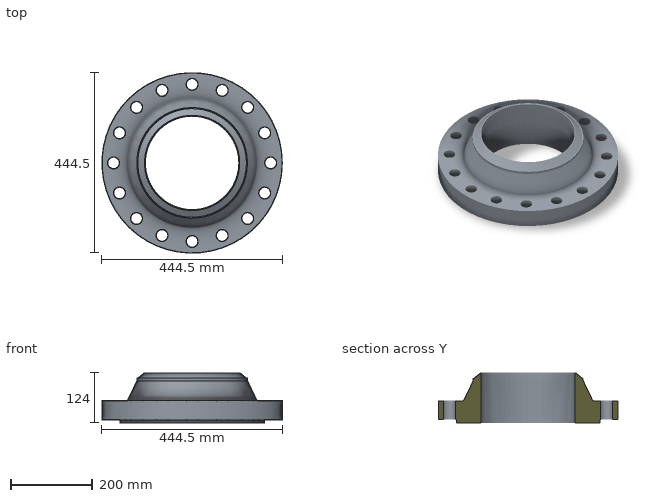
import cadquery as cq
import math

outer_dia = 444.5
raised_face_dia = 355.5
bore_dia = 230.0

total_height = 124.0
raised_face_height = 8.0
plate_thickness = 47.0
neck_bottom = 104.0
neck_height = 6.5
plate_top = raised_face_height + plate_thickness
neck_top = neck_bottom + neck_height

hub_base_dia = 320.0
neck_dia = 273.0
hub_root_fillet = 2.5
root_face_width = 2.0
bevel_angle = 39.0
bevel_run = (total_height - neck_top) / math.tan(math.radians(bevel_angle))

bolt_count = 16
bolt_circle_dia = 387.0
bolt_hole_dia = 28.5


def flange_body():
    """Revolve the flange, hub and beveled welding end as one half section."""
    bore_radius = bore_dia / 2
    root_face_radius = bore_radius + root_face_width
    section = [
        (bore_radius, 0),
        (raised_face_dia / 2, 0),
        (raised_face_dia / 2, raised_face_height),
        (outer_dia / 2, raised_face_height),
        (outer_dia / 2, plate_top),
        (hub_base_dia / 2, plate_top),
        (neck_dia / 2, neck_bottom),
        (neck_dia / 2, neck_top),
        (root_face_radius + bevel_run, neck_top),
        (root_face_radius, total_height),
        (bore_radius, total_height),
    ]
    return cq.Workplane("XZ").polyline(section).close().revolve(360, (0, 0), (0, 1))


def round_hub_root(body):
    """Fillet the circle where the tapered hub meets the top of the plate."""
    reach = hub_base_dia / 2 + hub_root_fillet
    root_edge = cq.selectors.BoxSelector(
        (-reach, -reach, plate_top - hub_root_fillet),
        (reach, reach, plate_top + hub_root_fillet),
        boundingbox=True,
    )
    return body.edges(root_edge).edges("%CIRCLE").fillet(hub_root_fillet)


def bolt_holes():
    """Through-holes evenly spaced on the bolt circle; one lies on +X."""
    return (
        cq.Workplane("XY")
        .polarArray(bolt_circle_dia / 2, 0, 360, bolt_count)
        .circle(bolt_hole_dia / 2)
        .extrude(plate_top)
    )


result = round_hub_root(flange_body()).cut(bolt_holes())